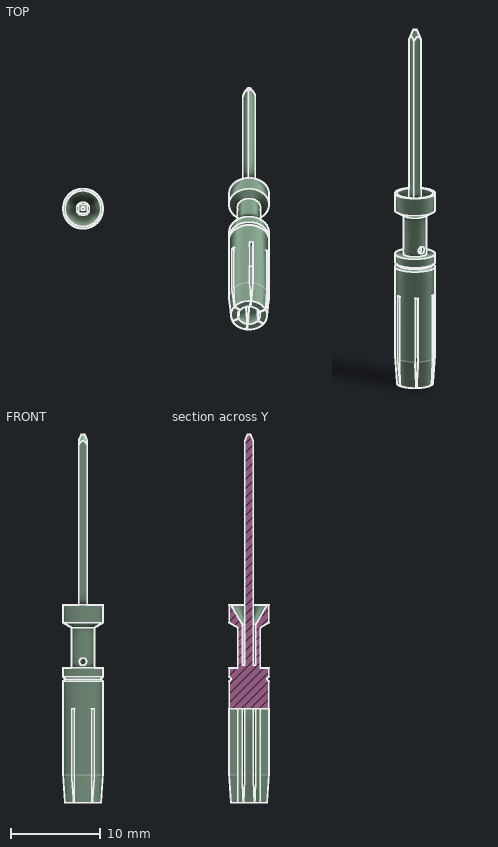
import cadquery as cq
import math

body_dia = 4.5
stem_dia = 2.6
body_radius = body_dia / 2
stem_radius = stem_dia / 2

taper_top = 3.15
slot_top = 10.5
groove_bottom = 13.6
collar_height = 1.0
stem_length = 4.5
cup_rim_height = 2.0
total_height = 41.2

groove_depth = 0.25
groove_top = groove_bottom + 2 * groove_depth
collar_top = groove_top + collar_height

cup_underside_angle = 30.0
cup_underside_height = (body_radius - stem_radius) * math.tan(math.radians(cup_underside_angle))
cup_cone_bottom = collar_top + stem_length
cup_rim_bottom = cup_cone_bottom + cup_underside_height
cup_top = cup_rim_bottom + cup_rim_height
funnel_dia = 4.0
funnel_depth = 2.2

wire_bore_dia = 1.45
inspection_dia = 0.8
inspection_clearance = 0.7
inspection_height = collar_top + inspection_clearance
wire_bore_bottom = inspection_height - inspection_dia / 2

tip_radius = 2.03
socket_dia = 2.5
slot_count = 6
slot_width = 0.38
slot_tip_width = 0.08

pin_side = 1.0
pin_point_length = 1.2
pin_tip_dia = 0.4


def revolve_about_z(profile):
    """Full turn of a closed (radius, height) outline about the Z axis."""
    return cq.Workplane("XZ").polyline(profile).close().revolve(360, (0, 0, 0), (0, 1, 0))


def make_turned_body():
    """Revolved outside shape: tapered socket, groove, collar, stem and cup."""
    profile = [
        (0, 0),
        (tip_radius, 0),
        (body_radius, taper_top),
        (body_radius, groove_bottom),
        (body_radius - groove_depth, groove_bottom + groove_depth),
        (body_radius, groove_top),
        (body_radius, collar_top),
        (stem_radius, collar_top),
        (stem_radius, cup_cone_bottom),
        (body_radius, cup_rim_bottom),
        (body_radius, cup_top),
        (0, cup_top),
    ]
    return revolve_about_z(profile)


def make_wire_cavity():
    """Revolved cavity: funnel leading into the wire bore."""
    bore_radius = wire_bore_dia / 2
    profile = [
        (0, wire_bore_bottom),
        (bore_radius, wire_bore_bottom),
        (bore_radius, cup_top - funnel_depth),
        (funnel_dia / 2, cup_top),
        (0, cup_top),
    ]
    return revolve_about_z(profile)


def make_inspection_hole():
    """Round hole from the -Y side of the stem to the wire bore."""
    plane = cq.Workplane("XZ", origin=(0, 0, inspection_height))
    return plane.circle(inspection_dia / 2).extrude(body_radius)


def make_socket():
    """Mating bore, open at the bottom."""
    return cq.Workplane("XY").circle(socket_dia / 2).extrude(slot_top)


def make_slot(angle):
    """One radial slot that narrows where the fingers bend inward."""
    half = slot_width / 2
    tip_half = slot_tip_width / 2
    outline = [
        (-tip_half, 0),
        (tip_half, 0),
        (half, taper_top),
        (half, slot_top),
        (-half, slot_top),
        (-half, taper_top),
    ]
    slot = cq.Workplane("YZ").polyline(outline).close().extrude(body_dia)
    return slot.rotate((0, 0, 0), (0, 0, 1), angle)


def make_pin():
    """Square pin standing on the floor of the wire bore, turned to a cone at the tip."""
    pin_length = total_height - wire_bore_bottom
    corner_radius = pin_side / math.sqrt(2)
    square = cq.Workplane("XY", origin=(0, 0, wire_bore_bottom)).rect(pin_side, pin_side).extrude(pin_length)
    envelope = [
        (0, wire_bore_bottom),
        (corner_radius, wire_bore_bottom),
        (corner_radius, total_height - pin_point_length),
        (pin_tip_dia / 2, total_height),
        (0, total_height),
    ]
    point = revolve_about_z(envelope)
    return square.intersect(point)


body = make_turned_body().cut(make_wire_cavity()).cut(make_inspection_hole()).cut(make_socket())
for index in range(slot_count):
    body = body.cut(make_slot(index * 360 / slot_count))

result = body.union(make_pin())